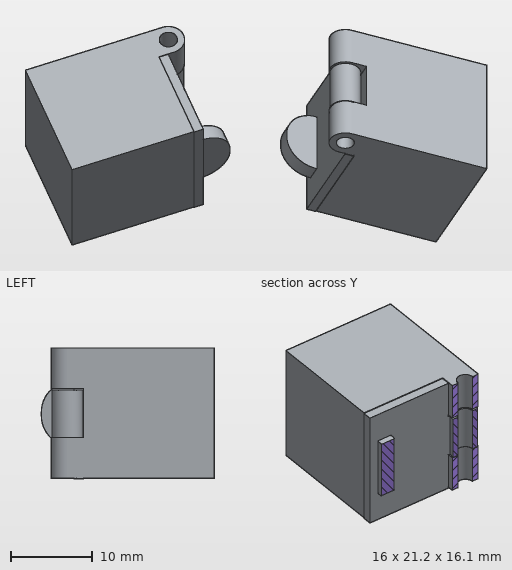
import cadquery as cq

total_depth = 21.2
box_side = 16.0
clearance = 0.091

barrel_radius = 2.0
pin_hole_diameter = 2.2
slot_height = 6.0
hinge_width = 2 * barrel_radius
hinge_x = barrel_radius
hinge_y = box_side + barrel_radius
slot_bottom = (box_side - slot_height) / 2

lid_thickness = 1.2
lid_bottom = -clearance
lid_back = box_side + lid_thickness
lid_width = box_side - hinge_width
knuckle_radius = barrel_radius - clearance
knuckle_height = slot_height - 2 * clearance

handle_thickness = 2.0
handle_edge_gap = 1.2
handle_height = 8.0
handle_corner_radius = 3.8
handle_x = box_side - handle_edge_gap - handle_thickness
handle_reach = total_depth - lid_back


def block(x, y, z, size_x, size_y, size_z):
    """Box with its lowest corner at (x, y, z)."""
    return cq.Workplane("XY").box(size_x, size_y, size_z, centered=False).translate((x, y, z))


def hinge_cylinder(diameter, bottom, height):
    """Cylinder on the hinge axis."""
    return cq.Workplane("XY", origin=(hinge_x, hinge_y, bottom)).circle(diameter / 2).extrude(height)


def pin_hole():
    """Hole cutter that passes through all the hinge parts."""
    return hinge_cylinder(pin_hole_diameter, lid_bottom, box_side + clearance)


def make_box():
    """Cube with two hinge barrels, separated by a slot for the lid knuckle."""
    body = block(0, 0, 0, box_side, box_side, box_side)
    for bottom in (0, slot_bottom + slot_height):
        web = block(0, box_side, bottom, hinge_width, barrel_radius, slot_bottom)
        barrel = hinge_cylinder(2 * barrel_radius, bottom, slot_bottom)
        body = body.union(web).union(barrel)
    return body.cut(pin_hole())


def make_handle():
    """Tab whose two outer corners are rounded about the X direction."""
    bottom = lid_bottom + (box_side - handle_height) / 2
    tab = block(handle_x, lid_back, bottom, handle_thickness, handle_reach, handle_height)
    return tab.faces(">Y").edges("|X").fillet(handle_corner_radius)


def make_lid():
    """Plate with a hinge knuckle, an arm that joins them, and the handle."""
    plate = block(hinge_width, box_side, lid_bottom, lid_width, lid_thickness, box_side)
    arm = block(hinge_x, box_side, slot_bottom, hinge_width - hinge_x, lid_thickness, knuckle_height)
    knuckle = hinge_cylinder(2 * knuckle_radius, slot_bottom, knuckle_height)
    lid = plate.union(arm).union(knuckle).cut(pin_hole())
    return lid.union(make_handle())


box = make_box()
lid = make_lid()

result = cq.Compound.makeCompound([box.solids().val(), lid.solids().val()])